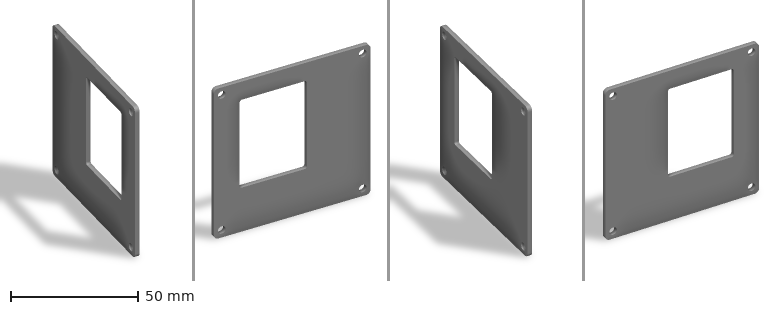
import cadquery as cq

plate_side = 70.0
plate_thickness = 2.0
plate_corner_radius = 2.0

hole_diameter = 3.4
hole_edge_distance = 3.5
hole_spacing = plate_side - 2 * hole_edge_distance

window_width = 30.0
window_height = 41.0
window_corner_radius = 1.0
window_center_x = 8.5
window_center_z = 6.0


def rounded_plate(width, height, corner_radius):
    """Upright slab of the plate thickness with rounded corners."""
    return (
        cq.Workplane("XZ")
        .rect(width, height)
        .extrude(plate_thickness / 2, both=True)
        .edges("|Y")
        .fillet(corner_radius)
    )


plate = rounded_plate(plate_side, plate_side, plate_corner_radius)

window = rounded_plate(window_width, window_height, window_corner_radius).translate(
    (window_center_x, 0, window_center_z)
)

mounting_holes = (
    cq.Workplane("XZ")
    .rect(hole_spacing, hole_spacing, forConstruction=True)
    .vertices()
    .circle(hole_diameter / 2)
    .extrude(plate_thickness / 2, both=True)
)

result = plate.cut(window).cut(mounting_holes)